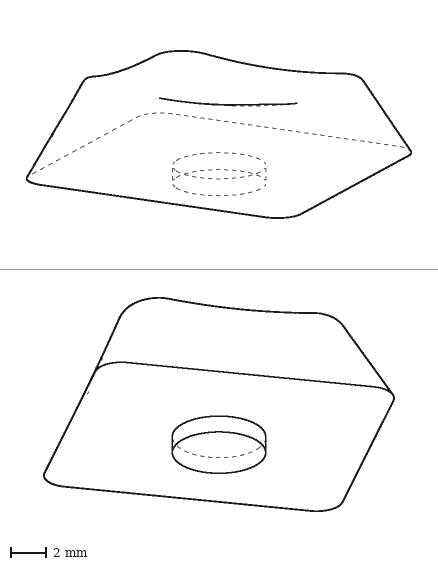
import cadquery as cq

base_length = 17.3
base_width = 16.3
base_corner_radius = 1.5

top_tilt = 6.06
top_height = 5.37
top_length = 12.6
top_width = 12.59
top_corner_radius = 2.48

dish_radius = 29.1
dish_floor_height = 4.01
rim_fillet = 0.5

stem_diameter = 5.3
stem_length = 1.0

tilt = cq.Location(cq.Vector(0, 0, 0), cq.Vector(1, 0, 0), -top_tilt)


def rounded_rectangle(length, width, corner_radius):
    """Rectangle centred on the origin with rounded corners."""
    return cq.Sketch().rect(length, width).vertices().fillet(corner_radius)


def make_body():
    """Flat base blended into the smaller, tilted top outline."""
    base = rounded_rectangle(base_length, base_width, base_corner_radius)
    top = rounded_rectangle(top_length, top_width, top_corner_radius)
    raised = cq.Location(cq.Vector(0, 0, top_height))
    return cq.Workplane("XY").placeSketch(base, top.moved(tilt * raised)).loft()


def make_dish_cutter():
    """Ball whose lowest point sits on the tilted normal at the dish floor height."""
    ball_centre_height = dish_floor_height + dish_radius
    placed = cq.Location(cq.Vector(0, 0, ball_centre_height), cq.Vector(0, 0, 1), 180)
    ball = cq.Workplane("XY").sphere(dish_radius).val()
    return cq.Workplane(ball.moved(tilt * placed))


def make_stem():
    """Cylinder hanging below the base plane."""
    return cq.Workplane("XY").circle(stem_diameter / 2).extrude(-stem_length)


dished_body = make_body().cut(make_dish_cutter())
rounded_body = dished_body.faces("%SPHERE").edges().fillet(rim_fillet)
result = rounded_body.union(make_stem())